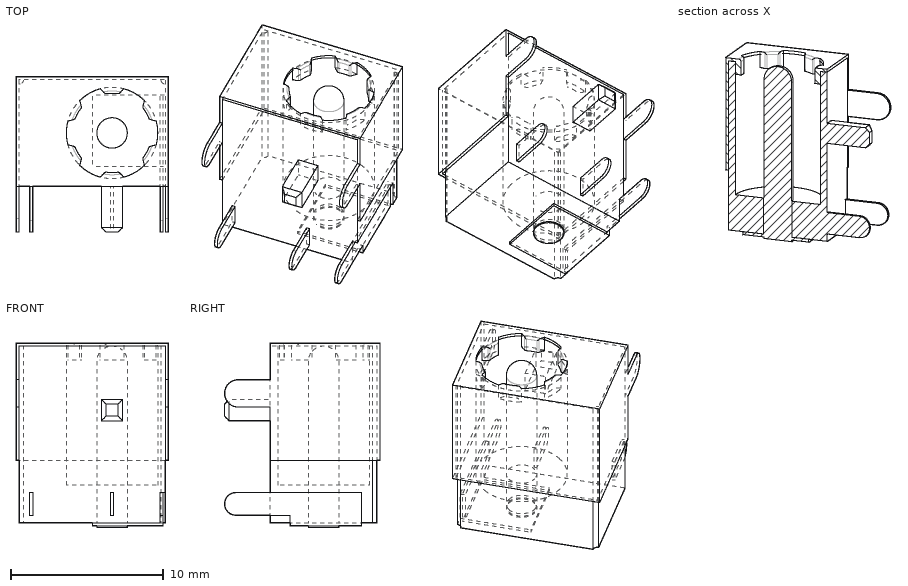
import cadquery as cq
import math


SHEET = 0.2

HOUSING_WIDTH = 9.6
HOUSING_DEPTH = 7.0
HOUSING_HEIGHT = 11.6
CORNER_FLUTE_RADIUS = 0.3
HALF_WIDTH = HOUSING_WIDTH / 2

SOCKET_X = 1.3
SOCKET_Y = 3.5
SOCKET_RADIUS = 3.0
SOCKET_FLOOR = 2.5

SHELL_LENGTH = 7.7
SHELL_TOP = HOUSING_HEIGHT + SHEET
SHELL_BOTTOM = SHELL_TOP - SHELL_LENGTH

TOOTH_COUNT = 6
TOOTH_DEPTH = 1.1
TOOTH_INNER_RADIUS = 2.6
TOOTH_HALF_ANGLE = 15
TOOTH_FLANK_SLOPE = 45
TOOTH_ROUNDING = 0.15

LEG_TIP_Y = -3.0
LEG_WIDTH = 1.5
LEG_Z = 1.25
HOUSING_LEG_X = (-4.0, SOCKET_X)
SHELL_LEG_WIDTH = 1.8
SHELL_LEG_Z = SHELL_TOP - 3.3

POST_SIZE = 1.4
POST_Z = SHELL_TOP - 4.4
POST_CHAMFER = 0.3

PIN_RADIUS = 1.0
BALL_Z = SHELL_TOP - 1.2
RIVET_HEIGHT = 0.1
PLATE_LEFT = 0.0
PLATE_RIGHT = 4.65
PLATE_FRONT = 1.3
PLATE_BACK = 6.0
CONTACT_WALL_LEFT = PLATE_RIGHT - SHEET
CONTACT_WALL_TOP = LEG_Z + LEG_WIDTH / 2


def block(x_range, y_range, z_range):
    """Box between the given limits."""
    sizes = [high - low for low, high in (x_range, y_range, z_range)]
    corner = (x_range[0], y_range[0], z_range[0])
    return cq.Workplane("XY").box(*sizes, centered=False).translate(corner)


def solder_leg(x_centre, z_centre, width, root_y=0.0):
    """Sheet metal leg running from root_y to a fully rounded tip."""
    radius = width / 2
    round_start = LEG_TIP_Y + radius
    return (
        cq.Workplane("YZ", origin=(x_centre - SHEET / 2, 0, z_centre))
        .moveTo(root_y, -radius)
        .lineTo(round_start, -radius)
        .threePointArc((LEG_TIP_Y, 0), (round_start, radius))
        .lineTo(root_y, radius)
        .close()
        .extrude(SHEET)
    )


def vertical_cylinder(radius, bottom, top):
    """Cylinder on the socket axis."""
    return (
        cq.Workplane("XY", origin=(SOCKET_X, SOCKET_Y, bottom))
        .circle(radius)
        .extrude(top - bottom)
    )


def make_post():
    """Square locating post with a chamfered end."""
    return (
        cq.Workplane("XZ", origin=(SOCKET_X, 0, POST_Z))
        .rect(POST_SIZE, POST_SIZE)
        .extrude(-LEG_TIP_Y)
        .faces("<Y")
        .chamfer(POST_CHAMFER)
    )


def make_housing():
    """Plastic block with socket, contact recess, locating post and two legs."""
    body = block((-HALF_WIDTH, HALF_WIDTH), (0, HOUSING_DEPTH), (0, HOUSING_HEIGHT))
    rear_flutes = (
        cq.Workplane("XY")
        .pushPoints([(-HALF_WIDTH, HOUSING_DEPTH), (HALF_WIDTH, HOUSING_DEPTH)])
        .circle(CORNER_FLUTE_RADIUS)
        .extrude(HOUSING_HEIGHT)
    )
    contact_recess = block((CONTACT_WALL_LEFT, HALF_WIDTH), (0, PLATE_BACK), (0, CONTACT_WALL_TOP))
    body = (
        body.cut(rear_flutes)
        .cut(contact_recess)
        .cut(vertical_cylinder(SOCKET_RADIUS, SOCKET_FLOOR, HOUSING_HEIGHT))
        .cut(vertical_cylinder(PIN_RADIUS, 0, SOCKET_FLOOR))
        .union(make_post())
    )
    for leg_x in HOUSING_LEG_X:
        body = body.union(solder_leg(leg_x, LEG_Z, LEG_WIDTH))
    return body


def make_tooth():
    """Tooth on the +X side of the socket axis, its root flush with the socket wall."""
    half_angle = math.radians(TOOTH_HALF_ANGLE)
    root_x = SOCKET_RADIUS * math.cos(half_angle)
    root_y = SOCKET_RADIUS * math.sin(half_angle)

    slope = math.radians(TOOTH_FLANK_SLOPE)
    along = root_x * math.cos(slope) + root_y * math.sin(slope)
    flank = along - math.sqrt(along**2 - SOCKET_RADIUS**2 + TOOTH_INNER_RADIUS**2)
    tip_x = root_x - flank * math.cos(slope)
    tip_y = root_y - flank * math.sin(slope)

    return (
        cq.Workplane("XY", origin=(0, 0, SHELL_TOP - TOOTH_DEPTH))
        .moveTo(root_x, -root_y)
        .threePointArc((SOCKET_RADIUS, 0), (root_x, root_y))
        .lineTo(tip_x, tip_y)
        .threePointArc((TOOTH_INNER_RADIUS, 0), (tip_x, -tip_y))
        .close()
        .extrude(TOOTH_DEPTH)
        .faces("<X")
        .edges("|Z or >Z")
        .fillet(TOOTH_ROUNDING)
    )


def make_shell():
    """Sheet metal cover with a toothed socket mouth and two side legs."""
    outer_half = HALF_WIDTH + SHEET
    shell = block(
        (-outer_half, outer_half), (0, HOUSING_DEPTH + SHEET), (SHELL_BOTTOM, SHELL_TOP)
    )
    cavity = block(
        (-HALF_WIDTH, HALF_WIDTH), (0, HOUSING_DEPTH), (SHELL_BOTTOM, HOUSING_HEIGHT)
    )
    mouth = vertical_cylinder(SOCKET_RADIUS, HOUSING_HEIGHT, SHELL_TOP)
    shell = shell.cut(cavity).cut(mouth)

    tooth = make_tooth()
    pitch = 360 / TOOTH_COUNT
    for index in range(TOOTH_COUNT):
        angle = (index + 0.5) * pitch
        placed = tooth.rotate((0, 0, 0), (0, 0, 1), angle).translate((SOCKET_X, SOCKET_Y, 0))
        shell = shell.union(placed)

    leg_x = HALF_WIDTH + SHEET / 2
    for side in (-1, 1):
        leg = solder_leg(side * leg_x, SHELL_LEG_Z, SHELL_LEG_WIDTH)
        shell = shell.union(leg)
    return shell


def make_contact():
    """Ball-ended pin riveted to an angled plate with its own leg."""
    plate = block((PLATE_LEFT, PLATE_RIGHT), (PLATE_FRONT, PLATE_BACK), (-SHEET, 0))
    wall = block(
        (CONTACT_WALL_LEFT, PLATE_RIGHT), (PLATE_FRONT, PLATE_BACK), (-SHEET, CONTACT_WALL_TOP)
    )
    leg = solder_leg(PLATE_RIGHT - SHEET / 2, LEG_Z, LEG_WIDTH, root_y=PLATE_FRONT)
    pin = vertical_cylinder(PIN_RADIUS, -SHEET - RIVET_HEIGHT, BALL_Z)
    ball = cq.Workplane("XY", origin=(SOCKET_X, SOCKET_Y, BALL_Z)).sphere(PIN_RADIUS)
    return plate.union(wall).union(leg).union(pin).union(ball)


housing = make_housing()
shell = make_shell()
contact = make_contact()

bodies = (housing, shell, contact)
result = cq.Compound.makeCompound([body.solids().val() for body in bodies])